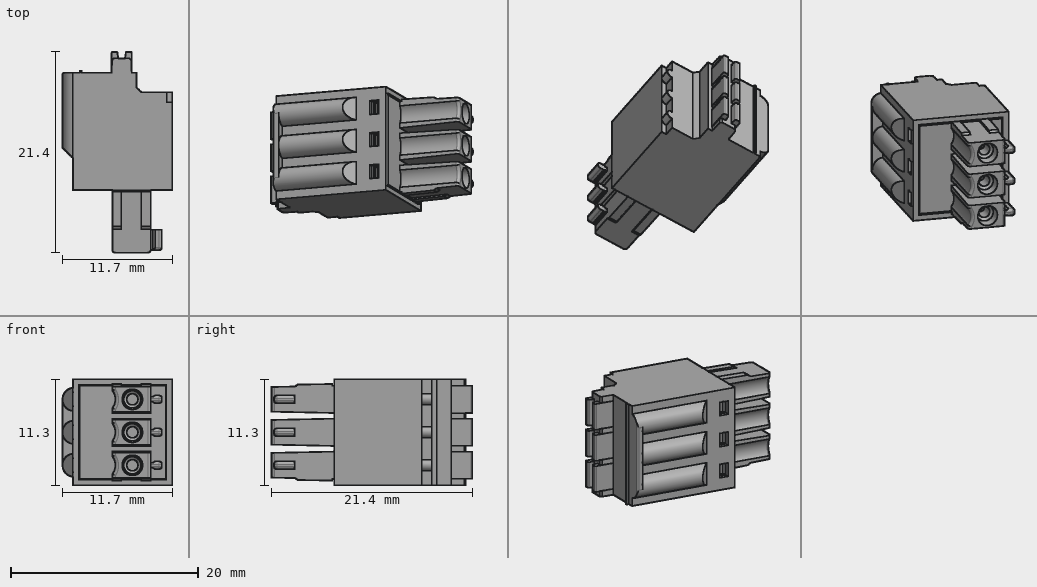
import cadquery as cq
import math


pole_pitch = 3.5
pole_heights = [-pole_pitch, 0, pole_pitch]

housing_width = 10.6
housing_height = 11.3
housing_depth = 12.5
shoulder_x = 6.78
shoulder_depth = 10.42
shoulder_chamfer = 0.51
corner_notch_width = 0.6
corner_notch_depth = 1.1
half_height = housing_height / 2

panel_left = 0.65
panel_right = 9.95
panel_height = 10.12
groove_side_width = 0.09
groove_end_width = 0.13
groove_depth = 0.1

ridge_radius = 1.25
ridge_protrusion = 1.11
ridge_front = 3.4
ridge_end_fillet = 0.21
web_front = 11.8

window_front = 0.83
window_back = 1.82
window_height = 1.5
window_depth = 0.54
pocket_margin_front = 0.05
pocket_margin_back = 0.25
pocket_height = 1.25
pocket_floor_length = 0.3
pocket_lip = 0.06

back_rib_x = 0.7
back_rib_width = 0.21
back_rib_height = 0.24

lever_left = 4.1
lever_right = 6.27
lever_end = 14.72
lever_height = 2.9
lever_fillet = 0.15
lever_notch_mouth = 0.9
lever_notch_floor = 0.7
tongue_end = 14.04
tongue_root_inset = 0.02
tongue_end_inset = 0.075
tongue_chamfer = 0.2

plug_left = 4.2
plug_right = 8.3
plug_length = 6.68
plug_root_height = 2.93
plug_tip_height = 2.65
plug_tip_fillet = 0.32
plug_groove_radius = 3.08 / 2
plug_groove_sagitta = 0.32

bore_x = 6.33
bore_mouth_diameter = 2.18
bore_seat_diameter = 1.85
bore_diameter = 1.2
bore_seat_depth = 1.07
bore_cone_depth = 0.21
bore_depth = 3.2

guide_start = 0.182
guide_slope_start = 3.85
guide_end = 4.2
guide_start_height = 1.65
guide_slope_height = 1.58
guide_base_height = 1.25
guide_left_width = 0.96
guide_right_width = 1.03

latch_neck_height = 0.54
latch_head_height = 0.83
latch_neck_length = 0.2
latch_head_start = 0.45
latch_length = 1.18
latch_back_y = -4.22
latch_front_y = -6.42
latch_fillet = 0.32


def block(x0, x1, y0, y1, z0, z1):
    """Box between the given coordinates."""
    return cq.Workplane("XY").box(x1 - x0, y1 - y0, z1 - z0, centered=False).translate((x0, y0, z0))


def plan(points, height):
    """Plan outline extruded to a total height centred on Z = 0."""
    return cq.Workplane("XY").polyline(points).close().extrude(height / 2, both=True)


def side(points, x0, x1):
    """Outline of (y, z) points extruded from x0 to x1."""
    return cq.Workplane("YZ").workplane(offset=x0).polyline(points).close().extrude(x1 - x0)


def rod(radius, x, z, y0, y1):
    """Cylinder along Y from y0 to y1."""
    return cq.Workplane("XZ", origin=(0, y0, 0)).center(x, z).circle(radius).extrude(y0 - y1)


def make_housing():
    notch_x = housing_width - corner_notch_width
    notch_y = shoulder_depth - corner_notch_depth
    body = plan(
        [
            (0, 0),
            (housing_width, 0),
            (housing_width, notch_y),
            (notch_x, notch_y),
            (notch_x, shoulder_depth),
            (shoulder_x + shoulder_chamfer, shoulder_depth),
            (shoulder_x, shoulder_depth + shoulder_chamfer),
            (shoulder_x, housing_depth),
            (0, housing_depth),
        ],
        housing_height,
    )
    corner = block(notch_x, housing_width, notch_y, shoulder_depth, -half_height, half_height)
    for z in pole_heights:
        body = body.union(rod(corner_notch_width, notch_x, z, notch_y, shoulder_depth).intersect(corner))
    body = body.union(
        block(
            back_rib_x,
            back_rib_x + back_rib_width,
            housing_depth,
            housing_depth + back_rib_height,
            -half_height,
            half_height,
        )
    )
    half_panel = panel_height / 2
    groove = block(panel_left, panel_right, 0, groove_depth, -half_panel, half_panel)
    panel = block(
        panel_left + groove_side_width,
        panel_right - groove_side_width,
        0,
        groove_depth,
        groove_end_width - half_panel,
        half_panel - groove_end_width,
    )
    return body.cut(groove.cut(panel))


def make_ridges():
    """Three ridges and the web joining their back ends."""
    ridges = block(-ridge_protrusion, 0, web_front, housing_depth, -pole_pitch, pole_pitch)
    axis_x = ridge_radius - ridge_protrusion
    for z in pole_heights:
        ridges = ridges.union(rod(ridge_radius, axis_x, z, ridge_front, housing_depth))
    envelope = plan(
        [
            (0, ridge_front),
            (0, housing_depth),
            (-ridge_protrusion, housing_depth),
            (-ridge_protrusion, ridge_front + ridge_protrusion),
        ],
        housing_height,
    )
    envelope = envelope.edges("|Z").edges("<X").edges(">Y").fillet(ridge_end_fillet)
    return ridges.intersect(envelope)


def make_window(z):
    """Recess with a deeper pocket whose floor slopes inward toward the back."""
    opening = block(0, window_depth, window_front, window_back, z - window_height / 2, z + window_height / 2)
    front = window_front + pocket_margin_front
    back = window_back - pocket_margin_back
    slope_start = front + pocket_floor_length
    floor = window_depth + pocket_lip
    deepest = floor + back - slope_start
    outline = [(0, front), (floor, front), (floor, slope_start), (deepest, back), (0, back)]
    pocket = plan(outline, pocket_height)
    return opening.union(pocket.translate((0, 0, z)))


def make_tongue():
    left = lever_left + tongue_end_inset
    right = lever_right - tongue_end_inset
    return plan(
        [
            (lever_left + tongue_root_inset, housing_depth),
            (lever_right - tongue_root_inset, housing_depth),
            (right, tongue_end - tongue_chamfer),
            (right - tongue_chamfer, tongue_end),
            (left + tongue_chamfer, tongue_end),
            (left, tongue_end - tongue_chamfer),
        ],
        housing_height,
    )


def make_lever(z):
    """Release lever with a tapered notch in its end."""
    half = lever_height / 2
    lever = block(lever_left, lever_right, housing_depth, lever_end, -half, half)
    middle = (lever_left + lever_right) / 2
    notch = plan(
        [
            (middle - lever_notch_mouth / 2, lever_end),
            (middle - lever_notch_floor / 2, tongue_end),
            (middle + lever_notch_floor / 2, tongue_end),
            (middle + lever_notch_mouth / 2, lever_end),
        ],
        lever_height,
    )
    lever = lever.cut(notch).edges("|Z and >Y").fillet(lever_fillet)
    return lever.translate((0, 0, z))


def make_side_groove():
    """Cutter for the concave -X side of a plug, flaring at the tip."""
    axis_x = plug_left + plug_groove_sagitta - plug_groove_radius
    flare_start = plug_tip_fillet - plug_length
    flare_radius = plug_groove_radius + plug_tip_fillet
    flare_middle = (
        flare_radius - plug_tip_fillet * math.cos(math.pi / 4),
        flare_start - plug_tip_fillet * math.sin(math.pi / 4),
    )
    return (
        cq.Workplane("XY")
        .moveTo(0, 0)
        .lineTo(plug_groove_radius, 0)
        .lineTo(plug_groove_radius, flare_start)
        .threePointArc(flare_middle, (flare_radius, -plug_length))
        .lineTo(0, -plug_length)
        .close()
        .revolve(360, (0, 0), (0, 1))
        .translate((axis_x, 0, 0))
    )


def make_bore():
    """Drafted mouth, conical seat and straight contact bore."""
    seat_y = bore_seat_depth - plug_length
    cone_y = seat_y + bore_cone_depth
    end_y = bore_depth - plug_length
    profile = [
        (0, -plug_length),
        (bore_mouth_diameter / 2, -plug_length),
        (bore_seat_diameter / 2, seat_y),
        (bore_diameter / 2, cone_y),
        (bore_diameter / 2, end_y),
        (0, end_y),
    ]
    bore = cq.Workplane("XY").polyline(profile).close().revolve(360, (0, 0), (0, 1))
    return bore.translate((bore_x, 0, 0))


def make_latch():
    """Coding latch: rounded head on a narrower neck."""
    end_x = plug_right + latch_length
    neck_top = latch_neck_height / 2
    head_top = latch_head_height / 2
    head = block(plug_right, end_x, latch_front_y, latch_back_y, -head_top, head_top)
    front_edges = head.faces("<Y").edges("not <X")
    latch = front_edges.add(head.faces(">X").edges("|Y")).fillet(latch_fillet)
    upper = [
        (plug_right, neck_top),
        (plug_right + latch_neck_length, neck_top),
        (plug_right + latch_head_start, head_top),
        (end_x, head_top),
    ]
    lower = [(x, -z) for x, z in reversed(upper)]
    section = cq.Workplane("XZ", origin=(0, latch_back_y, 0)).polyline(upper + lower).close()
    return latch.intersect(section.extrude(latch_back_y - latch_front_y))


def make_plug():
    root = plug_root_height / 2
    tip = plug_tip_height / 2
    body = side([(0, -root), (0, root), (-plug_length, tip), (-plug_length, -tip)], plug_left, plug_right)
    body = body.faces("<Y").edges("|Z").fillet(plug_tip_fillet)
    return body.cut(make_side_groove()).cut(make_bore()).union(make_latch())


def make_guides():
    """Collar and two guide ribs for the upper face of the top plug."""
    root = plug_root_height / 2
    draft = (plug_root_height - plug_tip_height) / 2 / plug_length
    end_height = root - draft * guide_end
    rib = [
        (-guide_start, guide_base_height),
        (-guide_start, guide_start_height),
        (-guide_slope_start, guide_slope_height),
        (-guide_end, end_height),
        (-guide_end, guide_base_height),
    ]
    collar = block(plug_left, plug_right, -guide_start, 0, guide_base_height, root)
    left_rib = side(rib, plug_left, plug_left + guide_left_width)
    right_rib = side(rib, plug_right - guide_right_width, plug_right)
    return collar.union(left_rib).union(right_rib).translate((0, 0, pole_pitch))


housing = make_housing().union(make_ridges()).union(make_tongue())
plug = make_plug()
for pole_z in pole_heights:
    housing = housing.cut(make_window(pole_z))
    housing = housing.union(make_lever(pole_z))
    housing = housing.union(plug.translate((0, 0, pole_z)))

guides = make_guides()
result = housing.union(guides).union(guides.mirror("XY"))